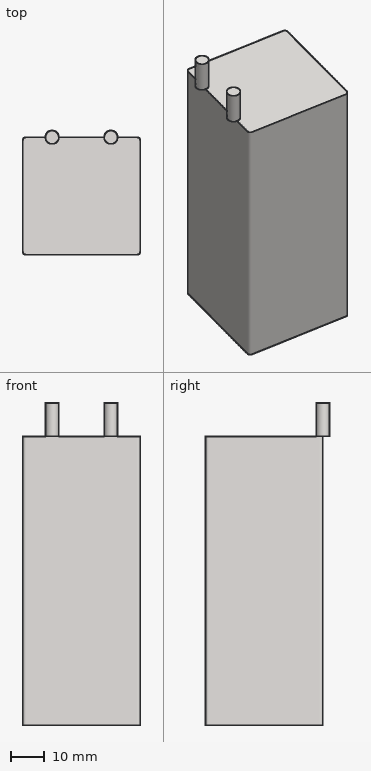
import cadquery as cq

total_height = 96.0
body_width = 35.0
corner_radius = 1.0

pin_diameter = 4.0
pin_height = 10.0
pin_spacing = body_width / 2

body_height = total_height - pin_height
back_face_y = body_width / 2

body = (
    cq.Workplane("XY")
    .rect(body_width, body_width)
    .extrude(body_height)
    .edges("|Z")
    .fillet(corner_radius)
)

pins = (
    cq.Workplane("XY", origin=(0, back_face_y, body_height))
    .pushPoints([(-pin_spacing / 2, 0), (pin_spacing / 2, 0)])
    .circle(pin_diameter / 2)
    .extrude(pin_height)
)

result = body.union(pins)